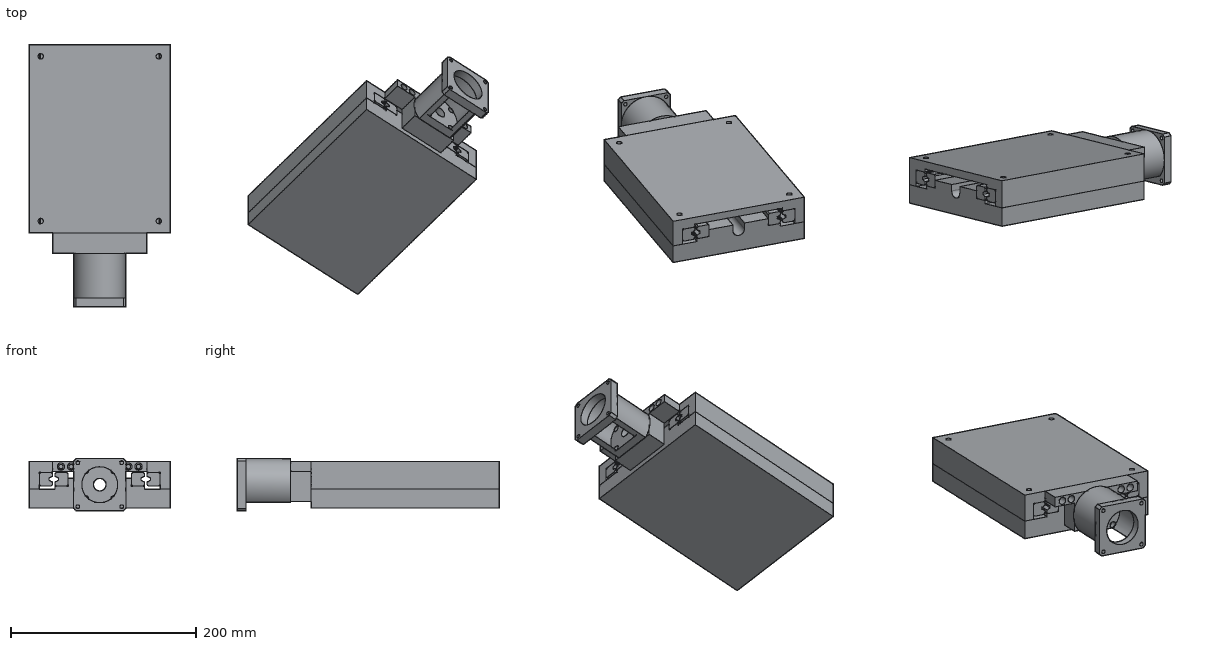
import cadquery as cq

stage_width = 152.5
stage_height = 50.5
stage_length = 203.3
half_width = stage_width / 2
table_top = stage_height / 2
base_bottom = -stage_height / 2
split_height = -4.8

rail_width = 14.2
rail_height = 14.7
rail_chamfer = 1.5
rail_bottom = -1.5
rail_top = rail_bottom + rail_height
rail_gap = 2.5
outer_rail_face = 51.0
inner_rail_face = outer_rail_face - rail_gap
inner_rail_back = inner_rail_face - rail_width
groove_mouth = 6.2
groove_floor = 2.3
groove_depth = 3.7

leg_inside = outer_rail_face + rail_width
rail_clearance = rail_bottom - split_height
table_hole_diameter = 5.7
table_hole_spacing_x = 127.5
table_hole_spacing_y = 177.9

plateau_height = 7.0

bracket_thickness = 22.0
bar_width = 102.0
bar_height = 11.0
bar_bottom = table_top - bar_height
block_width = 53.8
block_bottom = -18.5
screw_bore_diameter = 13.3
bolt_height = 19.5
bolt_positions_x = (31.0, 42.0)
bolt_diameter = 4.8
bolt_head_diameter = 8.0
bolt_head_depth = 11.0

flange_size = 56.6
flange_thickness = 9.5
flange_chamfer = 2.8
flange_hole_diameter = 4.0
flange_hole_spacing = 47.3
tube_length = 48.1
tube_diameter = 56.6
flange_bore_diameter = 38.8
tube_bore_diameter = 47.5
end_wall_thickness = 9.5
end_hole_diameter = 6.8
end_hole_spacing = 30.5
tube_flat_bottom = -19.0

bracket_front = -bracket_thickness
tube_front = bracket_front - tube_length


def extrude_back(outline, front, length):
    """Extrude an XZ outline from y = front toward +Y."""
    return outline.extrude(-length).translate((0, front, 0))


def mirrored_outline(right_half):
    """Close an XZ outline given by its right half, listed from the top down."""
    left_half = [(-x, z) for x, z in reversed(right_half)]
    return cq.Workplane("XZ").polyline(right_half + left_half).close()


def cylinder_along_y(diameter, front, length, x=0, z=0):
    outline = cq.Workplane("XZ").center(x, z).circle(diameter / 2)
    return extrude_back(outline, front, length)


def holes_in_square(spacing, diameter, front, length):
    """Four cylinders along Y at the corners of a square centred on the screw axis."""
    corners = cq.Workplane("XZ").rect(spacing, spacing, forConstruction=True).vertices()
    return extrude_back(corners.circle(diameter / 2), front, length)


def make_table():
    right_half = [
        (half_width, table_top),
        (half_width, split_height),
        (leg_inside, split_height),
        (leg_inside, rail_top),
        (outer_rail_face, rail_top),
        (outer_rail_face, rail_top + rail_clearance),
    ]
    table = extrude_back(mirrored_outline(right_half), 0, stage_length)
    return (
        table.faces(">Z").workplane(origin=(0, stage_length / 2, table_top))
        .rect(table_hole_spacing_x, table_hole_spacing_y, forConstruction=True).vertices()
        .hole(table_hole_diameter)
    )


def make_base():
    right_half = [
        (inner_rail_back, plateau_height),
        (inner_rail_back, rail_bottom),
        (inner_rail_face, rail_bottom),
        (inner_rail_face, split_height),
        (half_width, split_height),
        (half_width, base_bottom),
    ]
    base = extrude_back(mirrored_outline(right_half), 0, stage_length)
    round_bottom = cylinder_along_y(screw_bore_diameter, 0, stage_length)
    open_top = cq.Workplane("XY").box(
        screw_bore_diameter, stage_length, plateau_height, centered=(True, False, False)
    )
    return base.cut(round_bottom).cut(open_top)


def make_rail(groove_face, direction):
    """Rail whose grooved side is at x = groove_face; its back lies toward direction (+1 or -1) along X."""
    middle = rail_bottom + rail_height / 2
    back = groove_face + direction * rail_width
    floor = groove_face + direction * groove_depth
    bar = cq.Workplane("XZ").center((groove_face + back) / 2, middle).rect(rail_width, rail_height)
    bar = extrude_back(bar, 0, stage_length).edges("|Y").chamfer(rail_chamfer)
    groove = cq.Workplane("XZ").polyline([
        (groove_face, middle + groove_mouth / 2),
        (floor, middle + groove_floor / 2),
        (floor, middle - groove_floor / 2),
        (groove_face, middle - groove_mouth / 2),
    ]).close()
    return bar.cut(extrude_back(groove, 0, stage_length))


def make_bracket():
    right_half = [
        (bar_width / 2, table_top),
        (bar_width / 2, bar_bottom),
        (block_width / 2, bar_bottom),
        (block_width / 2, block_bottom),
    ]
    bracket = extrude_back(mirrored_outline(right_half), bracket_front, bracket_thickness)
    bracket = bracket.cut(cylinder_along_y(screw_bore_diameter, bracket_front, bracket_thickness))
    for side in (-1, 1):
        for position in bolt_positions_x:
            x = side * position
            shank = cylinder_along_y(bolt_diameter, bracket_front, bracket_thickness, x, bolt_height)
            head = cylinder_along_y(bolt_head_diameter, bracket_front, bolt_head_depth, x, bolt_height)
            bracket = bracket.cut(shank).cut(head)
    return bracket


def make_motor_mount():
    radius = tube_diameter / 2
    tube = cylinder_along_y(tube_diameter, tube_front, tube_length)
    tube_bore_depth = tube_length - end_wall_thickness
    end_wall_front = tube_front + tube_bore_depth
    tube = tube.cut(cylinder_along_y(tube_bore_diameter, tube_front, tube_bore_depth))
    tube = tube.cut(cylinder_along_y(screw_bore_diameter, end_wall_front, end_wall_thickness))
    tube = tube.cut(
        holes_in_square(end_hole_spacing, end_hole_diameter, end_wall_front, end_wall_thickness)
    )
    underside = cq.Workplane("XY").box(
        tube_diameter, tube_length, radius + tube_flat_bottom, centered=(True, False, False)
    )
    tube = tube.cut(underside.translate((0, tube_front, -radius)))

    flange_front = tube_front - flange_thickness
    flange = extrude_back(
        cq.Workplane("XZ").rect(flange_size, flange_size), flange_front, flange_thickness
    )
    flange = flange.edges("|Y").chamfer(flange_chamfer)
    bolt_holes = holes_in_square(
        flange_hole_spacing, flange_hole_diameter, flange_front, flange_thickness
    )
    bore = cylinder_along_y(flange_bore_diameter, flange_front, flange_thickness)
    return tube.union(flange.cut(bolt_holes).cut(bore))


table = make_table()
base = make_base()
rails = []
for side in (-1, 1):
    rails.append(make_rail(side * outer_rail_face, side).val())
    rails.append(make_rail(side * inner_rail_face, -side).val())
bracket = make_bracket()
motor_mount = make_motor_mount()

result = cq.Compound.makeCompound(
    [table.val(), base.val(), *rails, bracket.val(), motor_mount.val()]
)